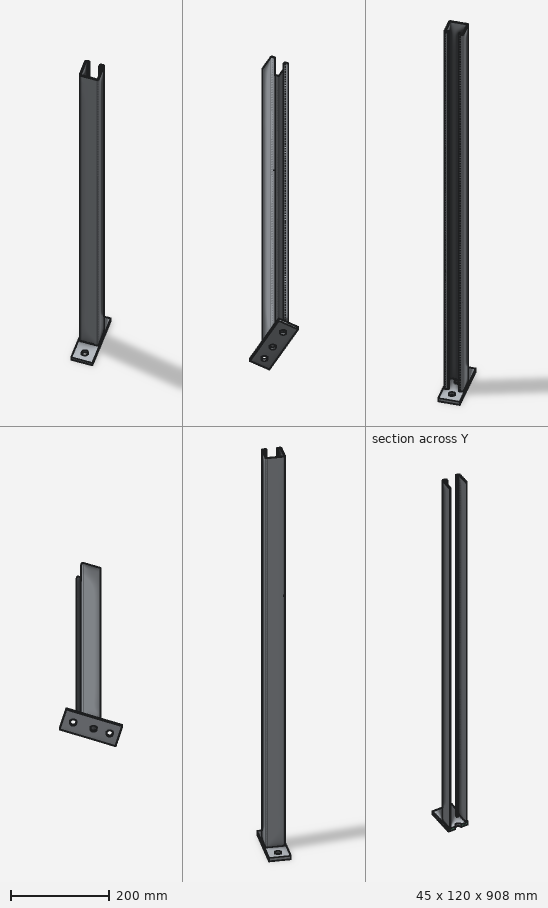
import cadquery as cq

TOTAL_HEIGHT = 908.0

PLATE_WIDTH = 45.0
PLATE_LENGTH = 120.0
PLATE_THICKNESS = 8.0
HOLE_DIAMETER = 14.0
HOLE_POSITIONS_Y = (38.0, -5.0, -40.0)

CHANNEL_SIZE = 41.0
CHANNEL_CENTER_Y = 5.0
WALL = 2.5
BEND_RADIUS = 3.2
MOUTH_WIDTH = 22.0
LIP_DEPTH = 7.0


def make_base_plate():
    """Flat rectangular plate with three through holes along its length."""
    hole_points = [(0, y) for y in HOLE_POSITIONS_Y]
    plate = cq.Workplane("XY").box(
        PLATE_WIDTH, PLATE_LENGTH, PLATE_THICKNESS, centered=(True, True, False)
    )
    return plate.faces(">Z").workplane(origin=(0, 0, 0)).pushPoints(hole_points).hole(HOLE_DIAMETER)


def upright(width, depth, center_y):
    """Rectangular bar that stands on the plate and reaches the top of the post."""
    return (
        cq.Workplane("XY", origin=(0, center_y, PLATE_THICKNESS))
        .rect(width, depth)
        .extrude(TOTAL_HEIGHT - PLATE_THICKNESS)
    )


def make_channel():
    """Rolled channel whose lips turn inward and then back into the section."""
    inner_size = CHANNEL_SIZE - 2 * WALL
    front_y = CHANNEL_CENTER_Y + CHANNEL_SIZE / 2
    lip_outer_width = MOUTH_WIDTH + 2 * WALL
    lip_center_y = front_y - LIP_DEPTH / 2

    outside = upright(CHANNEL_SIZE, CHANNEL_SIZE, CHANNEL_CENTER_Y).edges("|Z").fillet(BEND_RADIUS)
    cavity = (
        upright(inner_size, inner_size, CHANNEL_CENTER_Y)
        .edges("|Z")
        .fillet(BEND_RADIUS - WALL)
    )
    lips = upright(lip_outer_width, LIP_DEPTH, lip_center_y)
    mouth = upright(MOUTH_WIDTH, LIP_DEPTH, lip_center_y)
    mouth_bends = make_mouth_bends(front_y)
    return outside.cut(cavity.cut(lips)).cut(mouth).cut(mouth_bends)


def make_mouth_bends(front_y):
    """Corner waste outside the rounded bends at both edges of the mouth."""
    half_mouth = MOUTH_WIDTH / 2
    waste = (
        cq.Workplane("XY", origin=(0, 0, PLATE_THICKNESS))
        .moveTo(half_mouth, front_y)
        .lineTo(half_mouth + WALL, front_y)
        .radiusArc((half_mouth, front_y - WALL), -WALL)
        .close()
        .extrude(TOTAL_HEIGHT - PLATE_THICKNESS)
    )
    return waste.union(waste.mirror("YZ"))


base_plate = make_base_plate()
channel = make_channel()

result = cq.Compound.makeCompound([base_plate.val(), channel.val()])